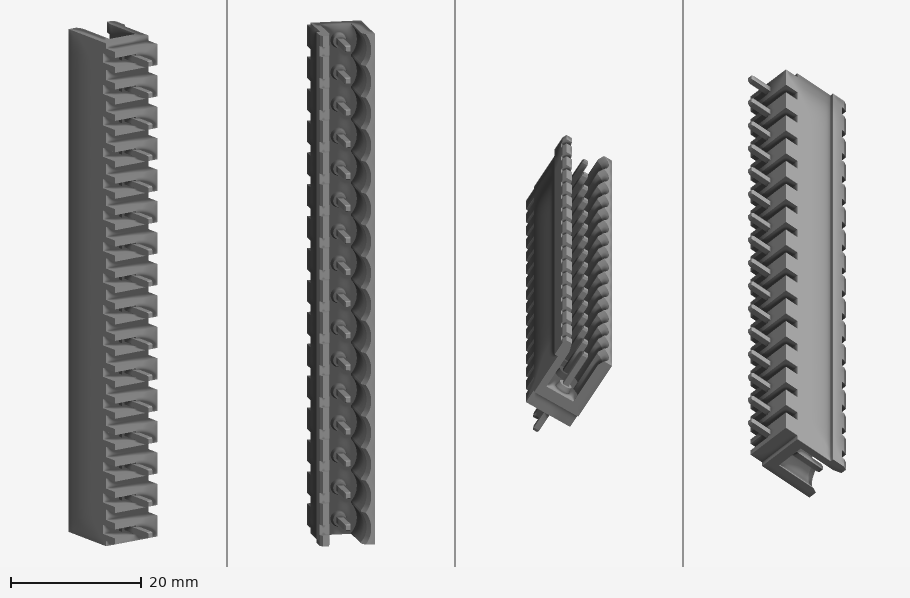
import cadquery as cq


length = 80.0
pin_count = 16
pitch = length / pin_count
pin_heights = [(i + 0.5) * pitch - length / 2 for i in range(pin_count)]

body_width = 7.9
pocket_floor = 8.2
body_back = 9.9
scalloped_wall = 1.9
plain_wall_inside = 6.8
plain_wall_lead_in_length = 1.4
plain_wall_lead_in_drop = 0.4

rail_top = 8.5
rail_length = 3.0
rail_chamfer_length = 0.6
rail_chamfer_drop = 0.3

notch_width = 1.6
notch_depth = 1.0

scallop_radius = 3.5
scallop_mouth_radius = 4.0
scallop_lead_in_length = 1.2
scallop_thinnest_wall = 1.0
scallop_axis_y = scallop_thinnest_wall + scallop_radius

feet_back = 12.3
foot_width = 3.4
slot_width = 1.4
slot_start = 9.1
slot_step = 0.4

pin_size = 1.0
pin_axis_y = 3.9
pin_front = 1.2
pin_back = 16.2
pin_taper = 0.4
pin_tip_size = 0.7

collar_front = 7.2
collar_base_diameter = 2.5
collar_front_diameter = 2.1


def block(x_range, y_range, z_size):
    """Box given by its X and Y limits, centred on Z = 0."""
    (x0, x1), (y0, y1) = x_range, y_range
    return cq.Workplane("XY").box(x1 - x0, y1 - y0, z_size, centered=False).translate(
        (x0, y0, -z_size / 2)
    )


def x_frustum(x0, x1, start_radius, end_radius, y):
    """Round frustum along X, or a cylinder when both radii agree."""
    profile = [(x0, 0), (x0, start_radius), (x1, end_radius), (x1, 0)]
    turned = cq.Workplane("XY").polyline(profile).close().revolve(360, (0, 0), (1, 0))
    return turned.translate((0, y, 0))


def shroud():
    outline = [
        (0, 0),
        (body_back, 0),
        (body_back, body_width),
        (rail_length, body_width),
        (rail_length, rail_top),
        (rail_chamfer_length, rail_top),
        (0, rail_top - rail_chamfer_drop),
        (0, plain_wall_inside + plain_wall_lead_in_drop),
        (plain_wall_lead_in_length, plain_wall_inside),
        (pocket_floor, plain_wall_inside),
        (pocket_floor, scalloped_wall),
        (0, scalloped_wall),
    ]
    return cq.Workplane("XY").polyline(outline).close().extrude(length / 2, both=True)


def scallop():
    """Round trough with a conical lead-in, kept to the scalloped wall only."""
    trough = x_frustum(0, pocket_floor, scallop_radius, scallop_radius, scallop_axis_y)
    mouth = x_frustum(0, scallop_lead_in_length, scallop_mouth_radius, scallop_radius, scallop_axis_y)
    wall_zone = block((0, pocket_floor), (0, scalloped_wall), length)
    return trough.union(mouth).intersect(wall_zone)


def lip_notch():
    return block((0, notch_depth), (plain_wall_inside, rail_top), notch_width)


def foot():
    return block((body_back, feet_back), (0, body_width), foot_width)


def pin_slot():
    """Slot from the Y = 0 face to the pin, shallower where it enters the body."""
    pin_face = pin_axis_y - pin_size / 2
    entry = block((slot_start, feet_back), (0, pin_face - slot_step), slot_width)
    deep = block((body_back, feet_back), (0, pin_axis_y), slot_width)
    return entry.union(deep)


def pin():
    """Square pin with a tapered tip at each end."""
    front_shoulder = pin_front + pin_taper
    back_shoulder = pin_back - pin_taper
    shank_y = (pin_axis_y - pin_size / 2, pin_axis_y + pin_size / 2)
    shank = block((front_shoulder, back_shoulder), shank_y, pin_size)
    for shoulder, taper in ((front_shoulder, -pin_taper), (back_shoulder, pin_taper)):
        tip = (
            cq.Workplane("YZ", origin=(shoulder, pin_axis_y, 0))
            .rect(pin_size, pin_size)
            .workplane(offset=taper)
            .rect(pin_tip_size, pin_tip_size)
            .loft(ruled=True)
        )
        shank = shank.union(tip)
    return shank


def collar():
    """Cone around the pin, widening toward the pocket floor."""
    front_radius = collar_front_diameter / 2
    base_radius = collar_base_diameter / 2
    return x_frustum(collar_front, pocket_floor, front_radius, base_radius, pin_axis_y)


def along_row(feature):
    """Copies of a feature, built about Z = 0, at every pin position."""
    solid = feature.val()
    return cq.Workplane("XY").newObject([solid.translate(cq.Vector(0, 0, z)) for z in pin_heights])


result = (
    shroud()
    .cut(along_row(scallop()))
    .cut(along_row(lip_notch()))
    .union(along_row(foot()))
    .cut(along_row(pin_slot()))
    .union(along_row(collar()))
    .union(along_row(pin()))
)